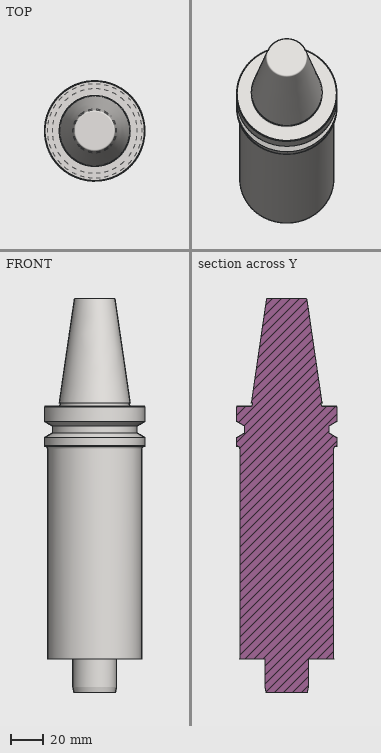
import cadquery as cq
import math


gauge_diameter = 44.45
taper_length = 65.4
taper_ratio = 7 / 24
taper_tip_fillet = 1.0
neck_diameter = 43.4
neck_fillet = 1.0

flange_diameter = 62.95
flange_top = -2.0
flange_bottom = -27.1
flange_chamfer = 0.5
groove_floor_diameter = 53.0
groove_centre = -16.6
groove_mouth_width = 10.0
groove_flank_angle = 30.0

body_diameter = 59.0
body_bottom = -160.0
body_root_fillet = 1.8

spigot_diameter = 27.5
spigot_length = 21.0
spigot_lead_height = 3.5
spigot_lead_angle = 12.0


def revolve_section(section):
    """Turn a closed section in the XZ plane about the Z axis."""
    return section.revolve(360, (0, 0, 0), (0, 1, 0))


def revolve_profile(profile):
    """Turn a closed profile of (radius, height) points about the Z axis."""
    return revolve_section(cq.Workplane("XZ").polyline(profile).close())


def make_taper():
    """Taper cone and the short relieved neck joining it to the flange."""
    gauge_radius = gauge_diameter / 2
    neck_radius = neck_diameter / 2
    tip_radius = (gauge_diameter - taper_length * taper_ratio) / 2
    profile = [
        (0, taper_length),
        (tip_radius, taper_length),
        (gauge_radius, 0),
        (neck_radius, 0),
        (neck_radius, flange_top),
        (0, flange_top),
    ]
    return revolve_profile(profile).faces(">Z").edges().fillet(taper_tip_fillet)


def make_flange():
    """Flange with chamfered rims and a V-sided groove with a flat floor."""
    rim_radius = flange_diameter / 2
    face_radius = rim_radius - flange_chamfer
    floor_radius = groove_floor_diameter / 2
    groove_depth = rim_radius - floor_radius
    half_mouth = groove_mouth_width / 2
    half_floor = half_mouth - groove_depth * math.tan(math.radians(groove_flank_angle))
    profile = [
        (0, flange_top),
        (face_radius, flange_top),
        (rim_radius, flange_top - flange_chamfer),
        (rim_radius, groove_centre + half_mouth),
        (floor_radius, groove_centre + half_floor),
        (floor_radius, groove_centre - half_floor),
        (rim_radius, groove_centre - half_mouth),
        (rim_radius, flange_bottom + flange_chamfer),
        (face_radius, flange_bottom),
        (0, flange_bottom),
    ]
    return revolve_profile(profile)


def make_body():
    """Cylinder that hangs below the flange."""
    body_length = flange_bottom - body_bottom
    return cq.Workplane("XY", origin=(0, 0, body_bottom)).circle(body_diameter / 2).extrude(body_length)


def make_spigot():
    """Cylinder with a tapered lead at its lower end."""
    spigot_radius = spigot_diameter / 2
    spigot_bottom = body_bottom - spigot_length
    lead_depth = spigot_lead_height * math.tan(math.radians(spigot_lead_angle))
    profile = [
        (0, body_bottom),
        (spigot_radius, body_bottom),
        (spigot_radius, spigot_bottom + spigot_lead_height),
        (spigot_radius - lead_depth, spigot_bottom),
        (0, spigot_bottom),
    ]
    return revolve_profile(profile)


def make_root_fillet(radius, corner_radius, corner_height, side):
    """Ring with a concave quarter-round section that fills an inside corner.

    The corner lies at corner_radius and corner_height. The ring rises from it
    when side is 1 and hangs below it when side is -1.
    """
    outer_radius = corner_radius + radius
    far_height = corner_height + side * radius
    to_arc_middle = radius * (1 - math.sqrt(0.5))
    arc_middle = (corner_radius + to_arc_middle, corner_height + side * to_arc_middle)
    section = (
        cq.Workplane("XZ")
        .moveTo(0, corner_height)
        .lineTo(outer_radius, corner_height)
        .threePointArc(arc_middle, (corner_radius, far_height))
        .lineTo(0, far_height)
        .close()
    )
    return revolve_section(section)


result = (
    make_flange()
    .union(make_taper())
    .union(make_root_fillet(neck_fillet, neck_diameter / 2, flange_top, 1))
    .union(make_body())
    .union(make_root_fillet(body_root_fillet, body_diameter / 2, flange_bottom, -1))
    .union(make_spigot())
)